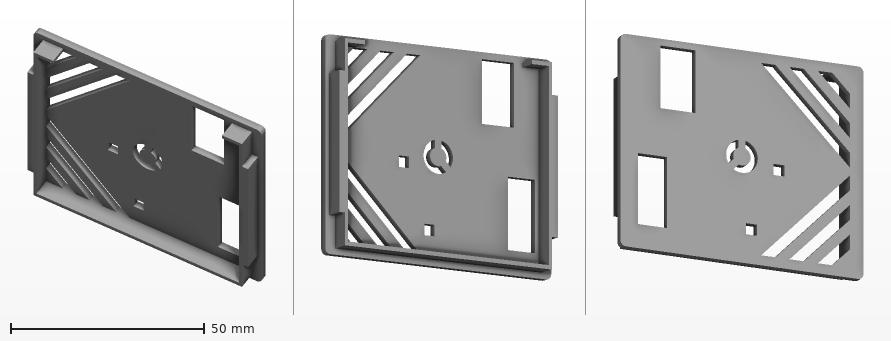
import cadquery as cq
import math

plate_width = 68.8
plate_height = 57.9
plate_thickness = 2.0
corner_radius = 1.5

total_depth = 7.0
rim_depth = total_depth - plate_thickness
rim_width = 62.9
rim_height = 54.6
rim_side_wall = 0.9
rim_end_wall = 1.1
inner_width = rim_width - 2 * rim_side_wall
inner_height = rim_height - 2 * rim_end_wall
hook_length = 6.0

strip_span = 66.5
strip_height = 37.4

slot_count = 3
slot_start = 4.95
slot_width = 4.05
slot_pitch = 8.05

ring_outer_radius = 4.5
ring_inner_radius = 2.5
spoke_width = 2.0
spoke_angles = (90, -45)

upper_window = (18.15, 18.6, 9.85, 17.05)
lower_window = (25.3, -12.7, 8.2, 19.3)
square_side = 3.0
left_square = (-10.45, -2.35, square_side, square_side)
lower_square = (-2.7, -19.55, square_side, square_side)


def block(width, height, depth, x=0, z=0):
    """Box centred at (x, z), reaching from Y = 0 to Y = depth."""
    return cq.Workplane("XY").box(width, abs(depth), height).translate((x, depth / 2, z))


def cover_plate():
    plate = block(plate_width, plate_height, plate_thickness)
    return plate.edges("|Y").fillet(corner_radius)


def rim():
    """Side and bottom walls, with a short hook at each end of the open top."""
    walls = block(rim_width, rim_height, -rim_depth)
    walls = walls.union(block(strip_span, strip_height, -rim_depth))
    walls = walls.cut(block(inner_width, inner_height, -rim_depth))
    gap_width = rim_width - 2 * hook_length
    gap_z = (rim_height - rim_end_wall) / 2
    return walls.cut(block(gap_width, rim_end_wall, -rim_depth, z=gap_z))


def vent_slot(near, far, side):
    """45-degree slot cutting across the top (side = 1) or bottom (side = -1) left corner."""
    corner_x = -inner_width / 2
    corner_z = side * inner_height / 2
    points = [
        (corner_x + near, corner_z),
        (corner_x + far, corner_z),
        (corner_x, corner_z - side * far),
        (corner_x, corner_z - side * near),
    ]
    return cq.Workplane("XZ").polyline(points).close().extrude(-plate_thickness)


def ring_opening():
    ring = (
        cq.Workplane("XZ")
        .circle(ring_outer_radius)
        .circle(ring_inner_radius)
        .extrude(-plate_thickness)
    )
    spoke_reach = 2 * ring_outer_radius
    for angle in spoke_angles:
        spoke_x = spoke_reach / 2 * math.cos(math.radians(angle))
        spoke_z = spoke_reach / 2 * math.sin(math.radians(angle))
        spoke = (
            cq.Workplane("XZ")
            .center(spoke_x, spoke_z)
            .transformed(rotate=(0, 0, angle))
            .rect(spoke_reach, spoke_width)
            .extrude(-plate_thickness)
        )
        ring = ring.cut(spoke)
    return ring


result = cover_plate().union(rim())

for x, z, width, height in (upper_window, lower_window, left_square, lower_square):
    result = result.cut(block(width, height, plate_thickness, x, z))

for side in (1, -1):
    for index in range(slot_count):
        near = slot_start + index * slot_pitch
        result = result.cut(vent_slot(near, near + slot_width, side))

result = result.cut(ring_opening())